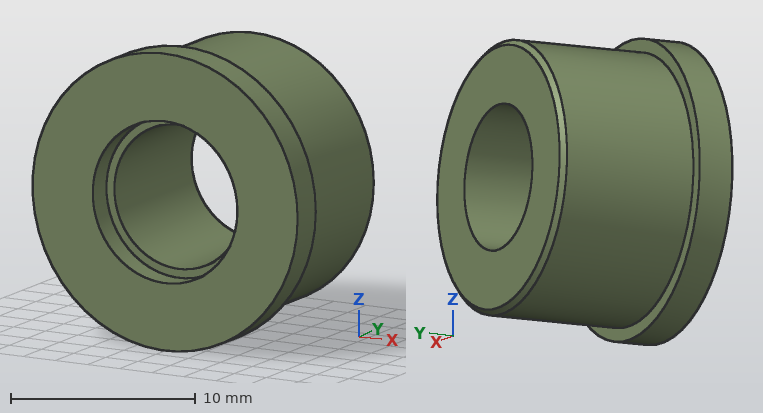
import cadquery as cq

flange_diameter = 16.5
flange_thickness = 2.0
body_diameter = 15.0
total_length = 10.0
end_chamfer = 0.3
bore_diameter = 8.0
counterbore_diameter = 9.0
counterbore_depth = 1.5


def cylinder_along_y(diameter, length):
    """Cylinder growing from the flange face toward +Y."""
    return cq.Workplane("XZ").circle(diameter / 2).extrude(-length)


body = cylinder_along_y(body_diameter, total_length)
body = body.faces(">Y").edges().chamfer(end_chamfer)

flange = cylinder_along_y(flange_diameter, flange_thickness)

bore = cylinder_along_y(bore_diameter, total_length)
counterbore = cylinder_along_y(counterbore_diameter, counterbore_depth)

result = body.union(flange).cut(bore).cut(counterbore)